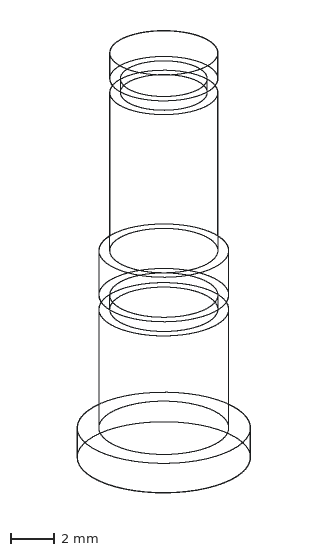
import cadquery as cq

flange_diameter = 8.0
body_diameter = 6.0
shaft_diameter = 5.0
neck_diameter = 4.0

total_length = 20.45
flange_length = 1.5
body_length = 6.0
body_groove_width = 0.72
collar_length = 2.25
shaft_length = 8.0
head_groove_width = 0.7

lower_length = flange_length + body_length + body_groove_width + collar_length
head_length = total_length - lower_length - shaft_length - head_groove_width

sections = [
    (flange_diameter, flange_length),
    (body_diameter, body_length),
    (shaft_diameter, body_groove_width),
    (body_diameter, collar_length),
    (shaft_diameter, shaft_length),
    (neck_diameter, head_groove_width),
    (shaft_diameter, head_length),
]


def stepped_pin(pin_sections):
    """Stack coaxial cylinders along Z, starting at Z = 0."""
    pin = None
    base_height = 0.0
    for diameter, length in pin_sections:
        cylinder = cq.Workplane("XY").workplane(offset=base_height).circle(diameter / 2).extrude(length)
        pin = pin.union(cylinder) if pin else cylinder
        base_height += length
    return pin


result = stepped_pin(sections)